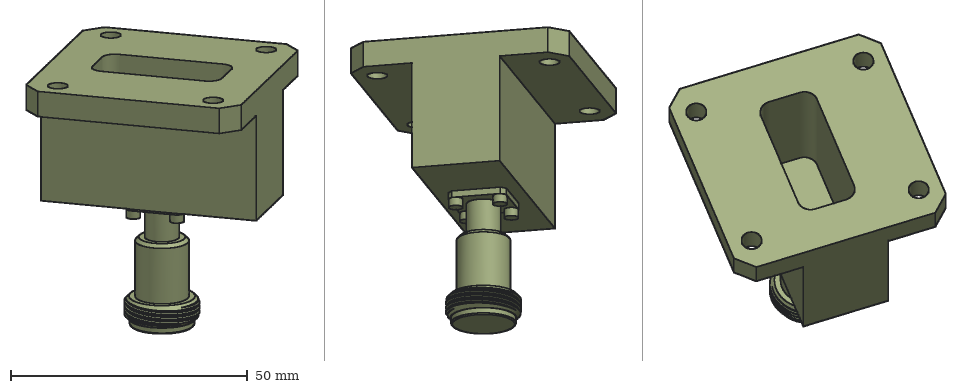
import cadquery as cq
import math

TOTAL_HEIGHT = 56.9

FLANGE_SIDE = 47.6
FLANGE_THICKNESS = 5.6
FLANGE_CORNER_CHAMFER = 3.7
MOUNT_HOLE_DIAMETER = 4.25
MOUNT_HOLE_SPACING_X = 34.35
MOUNT_HOLE_SPACING_Y = 37.55

BLOCK_WIDTH = 19.1
BLOCK_BOTTOM_DEPTH = 28.85
CAVITY_LENGTH = 28.6
CAVITY_WIDTH = 12.6
CAVITY_CORNER_RADIUS = 2.85
WALL_THICKNESS = (BLOCK_WIDTH - CAVITY_WIDTH) / 2
CAVITY_DEPTH = BLOCK_BOTTOM_DEPTH - WALL_THICKNESS

PLATE_SIDE = 12.7
PLATE_THICKNESS = 1.4
PLATE_CORNER_CHAMFER = 1.1
SCREW_HEAD_DIAMETER = 3.0
SCREW_HEAD_HEIGHT = 1.8
SCREW_SPACING = PLATE_SIDE - SCREW_HEAD_DIAMETER
PLATE_BOTTOM_DEPTH = BLOCK_BOTTOM_DEPTH + PLATE_THICKNESS

NECK_RADIUS = 7.35 / 2
BARREL_RADIUS = 11.45 / 2
BARREL_TOP_DEPTH = 37.45
BARREL_CHAMFER = 0.8
TIP_RADIUS = 13.75 / 2
TIP_LENGTH = 1.4
TIP_CHAMFER = 0.3
COLLAR_RADIUS = 16.0 / 2
COLLAR_TOP_DEPTH = 50.5
COLLAR_BOTTOM_DEPTH = TOTAL_HEIGHT - TIP_LENGTH
COLLAR_END_RADIUS = 14.0 / 2
COLLAR_CHAMFER = COLLAR_RADIUS - COLLAR_END_RADIUS

THREAD_LEAD = 3.0
THREAD_STARTS = 3
THREAD_PITCH = THREAD_LEAD / THREAD_STARTS
THREAD_DEPTH = 0.4
THREAD_CREST_FLAT = THREAD_PITCH / 8
THREAD_ROOT_FLAT = THREAD_PITCH / 4
GROOVE_OVERCUT = 0.03
THREAD_START_ANGLE = 15.0


def slab(length, width, top_depth, bottom_depth):
    """Centred rectangular slab between two depths below the mating face."""
    return (
        cq.Workplane("XY", origin=(0, 0, -bottom_depth))
        .rect(length, width)
        .extrude(bottom_depth - top_depth)
    )


def make_flange():
    flange = slab(FLANGE_SIDE, FLANGE_SIDE, 0, FLANGE_THICKNESS)
    flange = flange.edges("|Z").chamfer(FLANGE_CORNER_CHAMFER)
    return (
        flange.faces(">Z")
        .workplane()
        .rect(MOUNT_HOLE_SPACING_X, MOUNT_HOLE_SPACING_Y, forConstruction=True)
        .vertices()
        .hole(MOUNT_HOLE_DIAMETER)
    )


def make_cavity():
    cavity = slab(CAVITY_LENGTH, CAVITY_WIDTH, 0, CAVITY_DEPTH)
    return cavity.edges("|Z").fillet(CAVITY_CORNER_RADIUS)


def make_connector_plate():
    plate = slab(PLATE_SIDE, PLATE_SIDE, BLOCK_BOTTOM_DEPTH, PLATE_BOTTOM_DEPTH)
    plate = plate.edges("|Z").chamfer(PLATE_CORNER_CHAMFER)
    screw_heads = (
        cq.Workplane("XY", origin=(0, 0, -PLATE_BOTTOM_DEPTH))
        .rect(SCREW_SPACING, SCREW_SPACING, forConstruction=True)
        .vertices()
        .circle(SCREW_HEAD_DIAMETER / 2)
        .extrude(-SCREW_HEAD_HEIGHT)
    )
    return plate.union(screw_heads)


def make_connector_body():
    """Half profile in (radius, height), revolved about the Z axis."""
    profile = [
        (0, -BLOCK_BOTTOM_DEPTH),
        (NECK_RADIUS, -BLOCK_BOTTOM_DEPTH),
        (NECK_RADIUS, -BARREL_TOP_DEPTH),
        (BARREL_RADIUS - BARREL_CHAMFER, -BARREL_TOP_DEPTH),
        (BARREL_RADIUS, -BARREL_TOP_DEPTH - BARREL_CHAMFER),
        (BARREL_RADIUS, -COLLAR_TOP_DEPTH),
        (COLLAR_END_RADIUS, -COLLAR_TOP_DEPTH),
        (COLLAR_RADIUS, -COLLAR_TOP_DEPTH - COLLAR_CHAMFER),
        (COLLAR_RADIUS, -COLLAR_BOTTOM_DEPTH + COLLAR_CHAMFER),
        (COLLAR_END_RADIUS, -COLLAR_BOTTOM_DEPTH),
        (TIP_RADIUS, -COLLAR_BOTTOM_DEPTH),
        (TIP_RADIUS, -TOTAL_HEIGHT + TIP_CHAMFER),
        (TIP_RADIUS - TIP_CHAMFER, -TOTAL_HEIGHT),
        (0, -TOTAL_HEIGHT),
    ]
    return cq.Workplane("XZ").polyline(profile).close().revolve(360, (0, 0), (0, 1))


def make_groove_turn():
    """One turn of a flat-bottomed V groove, following a left-hand helix up from z = 0."""
    root_radius = COLLAR_RADIUS - THREAD_DEPTH
    outer_radius = COLLAR_RADIUS + GROOVE_OVERCUT
    half_mouth = (THREAD_PITCH - THREAD_CREST_FLAT) / 2
    half_root = THREAD_ROOT_FLAT / 2
    flank_slope = (half_mouth - half_root) / THREAD_DEPTH
    half_outer = half_root + flank_slope * (outer_radius - root_radius)
    helix = cq.Wire.makeHelix(THREAD_LEAD, THREAD_LEAD, root_radius, lefthand=True)
    return (
        cq.Workplane("XZ")
        .moveTo(root_radius, -half_root)
        .lineTo(root_radius, half_root)
        .lineTo(outer_radius, half_outer)
        .lineTo(outer_radius, -half_outer)
        .close()
        .sweep(cq.Workplane(helix), isFrenet=True)
    )


def cut_thread(body):
    """Cut every start turn by turn, running out past both ends of the collar."""
    collar_length = COLLAR_BOTTOM_DEPTH - COLLAR_TOP_DEPTH
    turn_count = math.ceil(collar_length / THREAD_LEAD) + 1
    turn = make_groove_turn()
    for start in range(THREAD_STARTS):
        angle = THREAD_START_ANGLE + start * 360 / THREAD_STARTS
        start_turn = turn.rotate((0, 0, 0), (0, 0, 1), angle)
        for index in range(turn_count):
            height = (index - 1) * THREAD_LEAD - COLLAR_BOTTOM_DEPTH
            body = body.cut(start_turn.translate((0, 0, height)))
    return body


block = slab(FLANGE_SIDE, BLOCK_WIDTH, FLANGE_THICKNESS, BLOCK_BOTTOM_DEPTH)
connector = cut_thread(make_connector_body())

result = (
    make_flange()
    .union(block)
    .cut(make_cavity())
    .union(make_connector_plate())
    .union(connector)
)